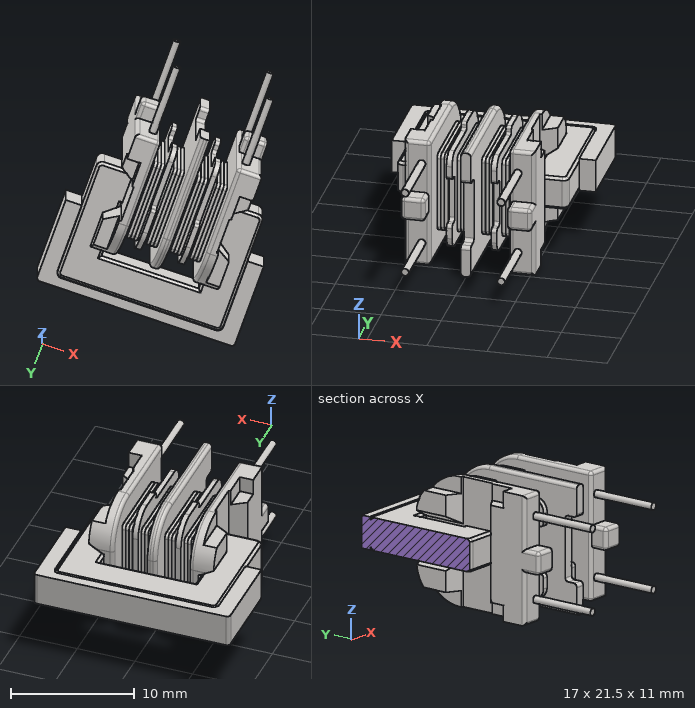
import cadquery as cq
import math


EDGE_ROUND = 0.3
SELECT_MARGIN = 0.1

FLANGE_HALF_HEIGHT = 5.5
FLANGE_BACK = 5.33
FLANGE_CORNER = 3.55
FLANGE_INNER_X = 3.3
FLANGE_OUTER_X = 5.42
FLANGE_FRONT = -5.8

CHANNEL_FLOOR_X = 4.1
CHANNEL_BACK_FLOOR = 1.53
CHANNEL_FRONT_FLOOR = -1.45
CHANNEL_MOUTH = 2.32
SLOT_HALF_FLOOR = 1.53
SLOT_HALF_MOUTH = 2.3

CORNER_RECESS_X = 4.25
CORNER_RECESS_Z = 4.1
CORNER_RECESS_FRONT = -3.6

FOOT_INNER_X = 3.45
FOOT_HALF_HEIGHT = 0.99
FOOT_FRONT = -7.22

MIDDLE_THICKNESS = 0.84
MIDDLE_FRONT = -7.25
MIDDLE_NOTCH_BOTTOM = -6.06
MIDDLE_NOTCH_HALF = 2.8

FIN_X = 1.86
FIN_THICKNESS = 0.47
FIN_BACK = 4.06
FIN_FRONT = -5.14
FIN_HALF_HEIGHT = 4.88
FIN_LOW_HALF_HEIGHT = 4.21
FIN_BACK_CORNER = 2.05
FIN_FRONT_CORNER = 1.0
FIN_STEP_ROUND = 0.22
FIN_NOTCH_HALF = 2.0
FIN_NOTCH_DEPTH = 0.99

WINDING_HALF = 3.46
WINDING_CORNER = 0.43
WIRES_PER_SECTION = 4
WIRE_BASE_DEPTH = 0.32

CORE_HALF_WIDTH = 7.12
CORE_BACK = 8.97
CORE_FRONT = -1.42
CORE_HALF_HEIGHT = 1.42
CORE_CORNER = 0.5
CORE_CHAMFER = 0.24
WINDOW_HALF_WIDTH = 4.17
WINDOW_BACK = 6.15
WINDOW_FRONT = 1.46

CLIP_WIDTH = 17.0
CLIP_HALF_WIDTH = CLIP_WIDTH / 2
CLIP_BACK = 9.8
CLIP_FRONT = 2.58

PIN_DIAMETER = 0.65
PIN_X = 4.0
PIN_Z = 3.53
TOTAL_LENGTH = 21.5
PIN_TIP = CLIP_BACK - TOTAL_LENGTH


def box(x0, x1, y0, y1, z0, z1):
    """Axis-aligned box between opposite corners."""
    return cq.Workplane("XY").box(x1 - x0, y1 - y0, z1 - z0, centered=False).translate((x0, y0, z0))


def both_sides(shape):
    """The shape together with its mirror image across X = 0."""
    return shape.union(shape.mirror("YZ"))


def flange_plate(x0, x1, front):
    """Full-height plate with its two back corners rounded."""
    plate = box(x0, x1, front, FLANGE_BACK, -FLANGE_HALF_HEIGHT, FLANGE_HALF_HEIGHT)
    return plate.edges("|X and >Y").fillet(FLANGE_CORNER)


def prism(plane, points, half_length):
    """Polygon extruded equally to both sides of the plane."""
    return cq.Workplane(plane).polyline(points).close().extrude(half_length, both=True)


def end_flange():
    """End flange on the +X side with channels, recessed corners and foot."""
    flange = flange_plate(FLANGE_INNER_X, FLANGE_OUTER_X, FLANGE_FRONT)
    rounded_edges = flange.faces("<X").edges().add(flange.faces("<Y").edges("not <X"))
    flange = flange.newObject(rounded_edges.vals()).fillet(EDGE_ROUND)

    flange = flange.cut(prism("XY", [
        (CHANNEL_FLOOR_X, CHANNEL_FRONT_FLOOR),
        (CHANNEL_FLOOR_X, CHANNEL_BACK_FLOOR),
        (FLANGE_OUTER_X, CHANNEL_MOUTH),
        (FLANGE_OUTER_X, -CHANNEL_MOUTH),
    ], FLANGE_HALF_HEIGHT))

    slot = prism("XZ", [
        (CHANNEL_FLOOR_X, -SLOT_HALF_FLOOR),
        (CHANNEL_FLOOR_X, SLOT_HALF_FLOOR),
        (FLANGE_OUTER_X, SLOT_HALF_MOUTH),
        (FLANGE_OUTER_X, -SLOT_HALF_MOUTH),
    ], FLANGE_BACK / 2)
    flange = flange.cut(slot.translate((0, FLANGE_BACK / 2, 0)))

    for bottom in (CORNER_RECESS_Z, -FLANGE_HALF_HEIGHT):
        top = bottom + FLANGE_HALF_HEIGHT - CORNER_RECESS_Z
        flange = flange.cut(box(CORNER_RECESS_X, FLANGE_OUTER_X,
                                CORNER_RECESS_FRONT, FLANGE_BACK, bottom, top))

    foot = box(FOOT_INNER_X, FLANGE_OUTER_X, FOOT_FRONT, FLANGE_FRONT + EDGE_ROUND,
               -FOOT_HALF_HEIGHT, FOOT_HALF_HEIGHT)
    foot = foot.edges("|Y or <Y").fillet(EDGE_ROUND)
    return flange.union(foot)


def front_notch(plate, x0, x1, front, bottom, half_height):
    """Cut a notch into the front edge of a plate and round its four corners."""
    plate = plate.cut(box(x0, x1, front, bottom, -half_height, half_height))
    corners = cq.selectors.BoxSelector(
        (x0, front - SELECT_MARGIN, -half_height - SELECT_MARGIN),
        (x1, bottom + SELECT_MARGIN, half_height + SELECT_MARGIN))
    return plate.edges("|X").edges(corners).fillet(EDGE_ROUND)


def middle_flange():
    """Plate between the two windings, rounded along its rim and notched in front."""
    half = MIDDLE_THICKNESS / 2
    plate = flange_plate(-half, half, MIDDLE_FRONT)
    plate = plate.faces("<X or >X").edges("not <Y").fillet(EDGE_ROUND)
    return front_notch(plate, -half, half, MIDDLE_FRONT, MIDDLE_NOTCH_BOTTOM, MIDDLE_NOTCH_HALF)


def fin():
    """Thin fin on the +X side: stepped top and bottom, notched in front."""
    x0 = FIN_X - FIN_THICKNESS / 2
    x1 = FIN_X + FIN_THICKNESS / 2
    tall = box(x0, x1, 0, FIN_BACK, -FIN_HALF_HEIGHT, FIN_HALF_HEIGHT)
    tall = tall.edges("|X and >Y").fillet(FIN_BACK_CORNER)
    low = box(x0, x1, FIN_FRONT, 0, -FIN_LOW_HALF_HEIGHT, FIN_LOW_HALF_HEIGHT)
    low = low.edges("|X and <Y").fillet(FIN_FRONT_CORNER)
    plate = tall.union(low)

    step = cq.selectors.BoxSelector(
        (x0, -SELECT_MARGIN, -FIN_HALF_HEIGHT - SELECT_MARGIN),
        (x1, SELECT_MARGIN, FIN_HALF_HEIGHT + SELECT_MARGIN))
    plate = plate.edges("|X").edges(step).fillet(FIN_STEP_ROUND)

    notch_bottom = FIN_FRONT + FIN_NOTCH_DEPTH
    return front_notch(plate, x0, x1, FIN_FRONT, notch_bottom, FIN_NOTCH_HALF)


def winding_section(x0, x1):
    """One row of round wires between two plates, wound on a rounded square."""
    pitch = (x1 - x0) / WIRES_PER_SECTION
    wire_radius = pitch / 2
    centreline = WINDING_HALF - wire_radius
    base = WINDING_HALF - WIRE_BASE_DEPTH

    row = cq.Workplane("XZ").moveTo(x0, base).lineTo(x0, centreline)
    for i in range(WIRES_PER_SECTION):
        start = x0 + i * pitch
        row = row.threePointArc((start + wire_radius, WINDING_HALF), (start + pitch, centreline))
    row = row.lineTo(x1, base).close()

    corner = WINDING_CORNER
    flat = WINDING_HALF - corner
    bend = corner * math.sqrt(0.5)
    path = cq.Workplane("YZ").moveTo(0, WINDING_HALF)
    for y, z in ((1, 1), (1, -1), (-1, -1), (-1, 1)):
        enter = (y * flat, z * WINDING_HALF)
        leave = (y * WINDING_HALF, z * flat)
        if y * z < 0:
            enter, leave = leave, enter
        path = path.lineTo(*enter)
        path = path.threePointArc((y * (flat + bend), z * (flat + bend)), leave)
    path = path.close()

    filling_half = (base + centreline) / 2
    filling = box(x0, x1, -filling_half, filling_half, -filling_half, filling_half)
    filling = filling.edges("|X").fillet(WINDING_CORNER - (WINDING_HALF - filling_half))
    return row.sweep(path).union(filling)


def windings():
    """Both winding sections on the +X side."""
    inner = winding_section(MIDDLE_THICKNESS / 2, FIN_X - FIN_THICKNESS / 2)
    outer = winding_section(FIN_X + FIN_THICKNESS / 2, FLANGE_INNER_X)
    return inner.union(outer)


def core():
    """Closed rectangular ferrite ring with chamfered rims."""
    ring = box(-CORE_HALF_WIDTH, CORE_HALF_WIDTH, CORE_FRONT, CORE_BACK, -CORE_HALF_HEIGHT, CORE_HALF_HEIGHT)
    ring = ring.edges("|Z").fillet(CORE_CORNER)
    ring = ring.cut(box(-WINDOW_HALF_WIDTH, WINDOW_HALF_WIDTH, WINDOW_FRONT, WINDOW_BACK,
                        -CORE_HALF_HEIGHT, CORE_HALF_HEIGHT))
    return ring.faces("<Z or >Z").edges().chamfer(CORE_CHAMFER)


def clip():
    """U-shaped strip wrapped around the back and sides of the core."""
    outer = box(-CLIP_HALF_WIDTH, CLIP_HALF_WIDTH, CLIP_FRONT, CLIP_BACK, -CORE_HALF_HEIGHT, CORE_HALF_HEIGHT)
    outer = outer.edges("|Z and >Y").fillet(EDGE_ROUND)
    opening = box(-CORE_HALF_WIDTH, CORE_HALF_WIDTH, CLIP_FRONT, CORE_BACK,
                  -CORE_HALF_HEIGHT, CORE_HALF_HEIGHT)
    return outer.cut(opening.edges("|Z and >Y").fillet(CORE_CORNER))


def pins():
    """Upper and lower pin on the +X side."""
    rods = cq.Workplane("XZ", origin=(0, FLANGE_FRONT + EDGE_ROUND, 0))
    rods = rods.pushPoints([(PIN_X, PIN_Z), (PIN_X, -PIN_Z)]).circle(PIN_DIAMETER / 2)
    return rods.extrude(FLANGE_FRONT + EDGE_ROUND - PIN_TIP)


half_bobbin = end_flange().union(pins()).union(fin()).union(windings())
bobbin = both_sides(half_bobbin).union(middle_flange())
result = bobbin.union(core()).union(clip())